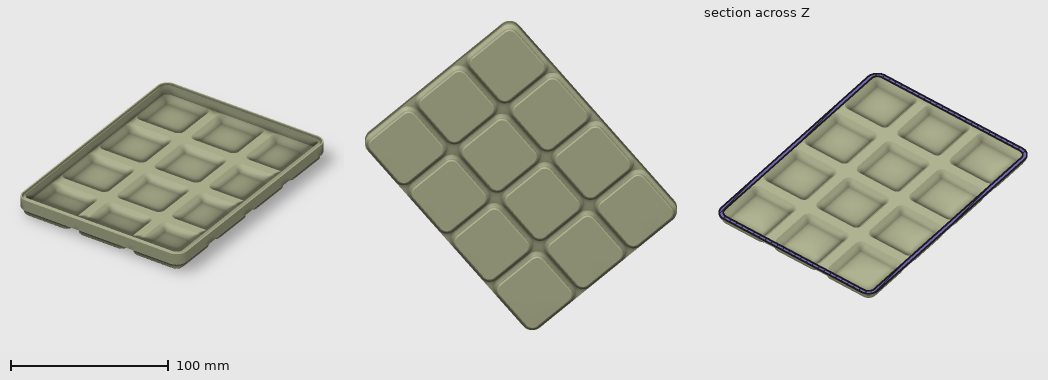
import cadquery as cq
import math

cells_x = 3
cells_y = 4
cell_gap = 0.5
tray_length = 167.5
tray_height = 12.7
pitch = (tray_length + cell_gap) / cells_y
tray_width = cells_x * pitch - cell_gap
foot_size = pitch - cell_gap
corner_radius = 7.5

foot_lower_chamfer = 0.8
foot_band = 1.8
foot_upper_chamfer = 2.2
foot_height = foot_lower_chamfer + foot_band + foot_upper_chamfer

wall = foot_lower_chamfer + foot_upper_chamfer
rim_width = 0.8
groove_floor_width = 0.7
groove_depth = 1.7
groove_slope_run = wall - rim_width - groove_floor_width

floor_level = 5.5
pocket_bottom = 1.2
pocket_depth = floor_level - pocket_bottom


def rounded_block(size_x, size_y, radius, top, depth, run=0):
    """Block with rounded corners hanging down from level `top`.

    Its sides lean in by `run` on the way down, or out if `run` is negative.
    """
    outline = cq.Sketch().rect(size_x, size_y).vertices().fillet(radius)
    lean = math.degrees(math.atan2(run, depth))
    return cq.Workplane("XY", origin=(0, 0, top)).placeSketch(outline).extrude(-depth, taper=lean)


def square_block(inset, top, depth, run=0):
    """Block following the outline of a foot at a distance `inset` inside it."""
    size = foot_size - 2 * inset
    return rounded_block(size, size, corner_radius - inset, top, depth, run)


def perimeter_block(inset, top, depth, run=0):
    """Block following the outline of the tray at a distance `inset` inside it."""
    size_x = tray_width - 2 * inset
    size_y = tray_length - 2 * inset
    return rounded_block(size_x, size_y, corner_radius - inset, top, depth, run)


def make_foot():
    band_inset = foot_upper_chamfer
    band_top = foot_lower_chamfer + foot_band
    upper = square_block(0, foot_height, foot_upper_chamfer, foot_upper_chamfer)
    band = square_block(band_inset, band_top, foot_band)
    lower = square_block(band_inset, foot_lower_chamfer, foot_lower_chamfer, foot_lower_chamfer)
    return upper.union(band).union(lower)


def make_pocket():
    """Pocket with 45 degree walls, whose corners narrow almost to a point at the bottom."""
    return square_block(wall, floor_level, pocket_depth, pocket_depth)


def make_groove():
    """Groove with an upright outer side, a flat floor and an inner side sloping up to a ridge."""
    outer = perimeter_block(rim_width, tray_height, groove_depth)
    ridge = perimeter_block(wall, tray_height, groove_depth, -groove_slope_run)
    return outer.cut(ridge)


cell_centers = [
    ((column - (cells_x - 1) / 2) * pitch, (row - (cells_y - 1) / 2) * pitch)
    for column in range(cells_x)
    for row in range(cells_y)
]

tray = perimeter_block(0, tray_height, tray_height - foot_height)
foot = make_foot()
for x, y in cell_centers:
    tray = tray.union(foot.translate((x, y, 0)))

tray = tray.cut(perimeter_block(wall, tray_height, tray_height - floor_level))
tray = tray.cut(make_groove())
pocket = make_pocket()
for x, y in cell_centers:
    tray = tray.cut(pocket.translate((x, y, 0)))

result = tray